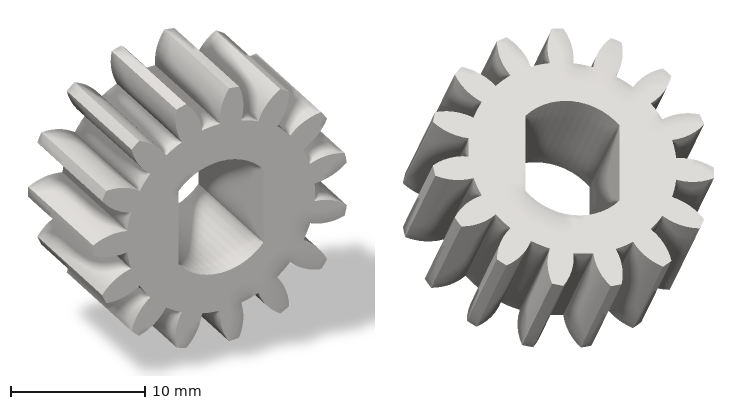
import cadquery as cq
import math

face_width = 10.17
tooth_count = 15
tip_radius = 10.8
root_radius = 7.95

tip_half_thickness = 0.43
flank_mid_radius = 9.48
flank_mid_half_thickness = 0.9
root_half_thickness = 0.9

bore_radius = 4.75
bore_across_flats = 7.17

pitch_angle = 2 * math.pi / tooth_count
first_tooth_angle = math.pi


def axial_distance(radius, half_thickness):
    """Distance along the tooth centre line of a point on the given radius."""
    return math.sqrt(radius**2 - half_thickness**2)


def tooth_point(along, across, angle):
    """Turn a point from the tooth's own frame to the gear's YZ plane."""
    y = along * math.cos(angle) - across * math.sin(angle)
    z = along * math.sin(angle) + across * math.cos(angle)
    return y, z


def gear_outline():
    """Closed outline of tooth flanks, tip arcs and root arcs."""
    root_along = axial_distance(root_radius, root_half_thickness)
    tip_along = axial_distance(tip_radius, tip_half_thickness)
    start = tooth_point(root_along, -root_half_thickness, first_tooth_angle)
    outline = cq.Workplane("YZ").moveTo(*start)
    for tooth in range(tooth_count):
        angle = first_tooth_angle + tooth * pitch_angle
        outline = (
            outline
            .threePointArc(
                tooth_point(flank_mid_radius, -flank_mid_half_thickness, angle),
                tooth_point(tip_along, -tip_half_thickness, angle),
            )
            .threePointArc(
                tooth_point(tip_radius, 0, angle),
                tooth_point(tip_along, tip_half_thickness, angle),
            )
            .threePointArc(
                tooth_point(flank_mid_radius, flank_mid_half_thickness, angle),
                tooth_point(root_along, root_half_thickness, angle),
            )
        )
        if tooth < tooth_count - 1:
            outline = outline.threePointArc(
                tooth_point(root_radius, 0, angle + pitch_angle / 2),
                tooth_point(root_along, -root_half_thickness, angle + pitch_angle),
            )
    last_gap_middle = tooth_point(root_radius, 0, first_tooth_angle - pitch_angle / 2)
    return outline.threePointArc(last_gap_middle, start).close()


def double_d_bore():
    """Round bore cut back to two parallel flats."""
    round_bore = cq.Workplane("YZ").circle(bore_radius).extrude(face_width)
    between_flats = cq.Workplane("YZ").rect(bore_across_flats, 2 * bore_radius).extrude(face_width)
    return round_bore.intersect(between_flats)


gear_blank = gear_outline().extrude(face_width)
result = gear_blank.cut(double_d_bore())